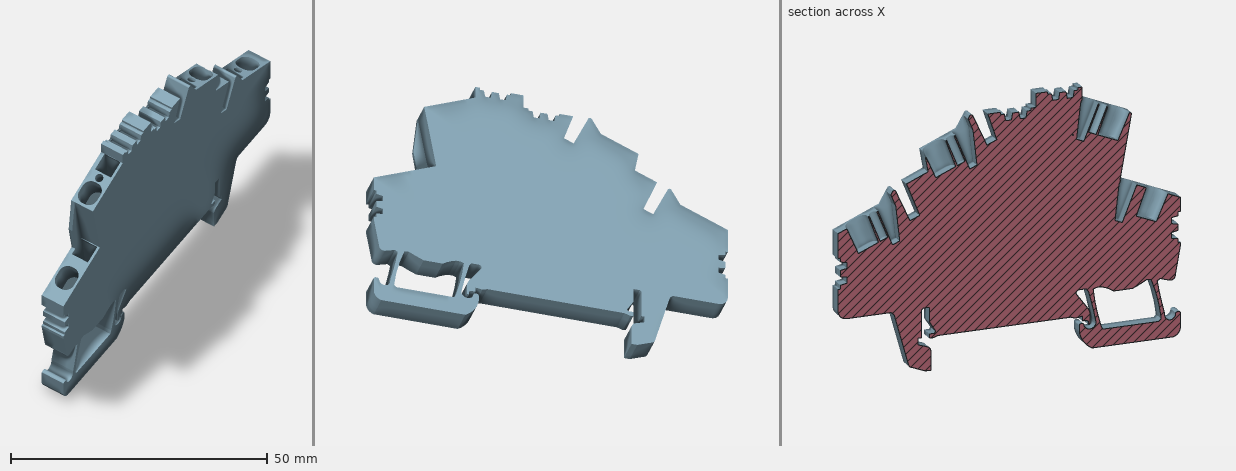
import cadquery as cq
import math


thickness = 5.1
length = 72.35
height = 54.5

slope_angle = math.radians(22.5)
slope_sin = math.sin(slope_angle)
slope_cos = math.cos(slope_angle)
slope_tan = math.tan(slope_angle)
front_low_edge = (0, 28.8)
front_high_edge = (10.3, 47.65)
rear_low_edge = (length, 31.05)
rear_slope_run = 9.7
rear_high_edge_y = 54.1

rail_face_z = 7.0
rail_hook_y = 53.07
body_bottom_z = 13.1
clip_root_z = 12.45
rear_corner_radius = 1.9

marker_block_front = 20.75
marker_block_rear = 30.6
low_top_z = 51.6
recess_width = 6.3
recess_depth = 0.5
notch_offset = 1.53
notch_mouth = 1.65
notch_floor = 1.15
notch_depth = 1.6
notch_web_thickness = 0.5
notch_web_height = 0.3
side_recess_z = 22.65
front_top_recess_y = 24.85
rear_top_recess_y = 34.8

level_step_y = -16.25
level_step_z = 13.5
rear_low_foot = (length - rear_slope_run, rear_low_edge[1] + rear_slope_run * slope_tan)
rear_high_foot = (rear_low_foot[0] + level_step_y, rear_low_foot[1] + level_step_z)
rear_high_edge = (rear_high_edge_y, rear_high_foot[1] - (rear_high_edge_y - rear_high_foot[0]) * slope_tan)

entry_width = 4.2
entry_length = 4.85
entry_corner_radius = 1.8
entry_depth = 6.0
entry_taper = 1.7
pilot_diameter = 1.65
pilot_depth = 6.0
pilot_spacing = 3.54

pocket_x_min = 0.85
pocket_x_max = 4.6
pocket_spacing = 4.7
pocket_length = 3.6
pocket_depth = 8.0
pocket_straight_depth = 0.9
pocket_far_wall_lean = math.radians(16)
pocket_cut_above = 4.0

overlap = 1.0

web_thickness = 0.85
web_peak = (9.4, 39.65)
web_foot_y = 10.45
setback_foot_y = 12.75


def front_low_slope_z(y):
    return front_low_edge[1] + y * slope_tan


def extrude_outline(sketch, x_min=0.0, x_max=thickness):
    return sketch.close().extrude(x_max - x_min).translate((x_min, 0, 0))


def prism(points, x_min=0.0, x_max=thickness):
    return extrude_outline(cq.Workplane("YZ").polyline(points), x_min, x_max)


def add_rear_level(sketch, steps):
    """Continue the outline rearward through the slot, over the rounded tip and down to the slope foot."""

    def level(y, z):
        return (y + steps * level_step_y, z + steps * level_step_z)

    return (
        sketch.lineTo(*level(55.1, 32.5))
        .lineTo(*level(57.1, 31.7))
        .lineTo(*level(60.05, 38.1))
        .threePointArc(level(60.4, 38.4), level(60.85, 38.15))
        .lineTo(*level(*rear_low_foot))
    )


def housing():
    """Main body from the rail face up, without recesses and entries."""
    corner_inset = rear_corner_radius * (1 - math.sqrt(0.5))
    block_run = marker_block_front - front_high_edge[0]
    front_top = (
        cq.Workplane("YZ")
        .moveTo(*front_high_edge)
        .lineTo(marker_block_front, front_high_edge[1] + block_run * slope_tan)
        .lineTo(marker_block_front, height)
        .lineTo(marker_block_rear, height)
        .lineTo(marker_block_rear, low_top_z)
        .lineTo(40.75, low_top_z)
    )
    upper_level = add_rear_level(front_top, 1).lineTo(*rear_high_edge).lineTo(53.35, 41.3).lineTo(57.9, 39.4)
    sketch = (
        add_rear_level(upper_level, 0)
        .lineTo(*rear_low_edge)
        .lineTo(length, body_bottom_z + rear_corner_radius)
        .threePointArc(
            (length - corner_inset, body_bottom_z + corner_inset),
            (length - rear_corner_radius, body_bottom_z),
        )
        .lineTo(rail_hook_y, body_bottom_z)
        .lineTo(rail_hook_y, 10.1)
        .lineTo(51.75, 8.0)
        .lineTo(52.0, 7.65)
        .lineTo(rail_hook_y, 7.65)
        .lineTo(rail_hook_y, 6.75)
        .lineTo(52.5, 6.6)
        .lineTo(51.2, rail_face_z)
        .lineTo(23.2, rail_face_z)
        .lineTo(22.2, 6.65)
        .lineTo(20.74, 6.9)
        .lineTo(20.74, 5.9)
        .lineTo(19.9, 5.9)
        .lineTo(19.45, 5.6)
        .lineTo(19.45, 5.0)
        .lineTo(19.05, 5.0)
        .lineTo(19.05, 7.0)
        .threePointArc((19.2, 7.8), (19.6, 8.5))
        .lineTo(21.85, 11.5)
        .threePointArc((21.95, 12.15), (21.45, clip_root_z))
        .lineTo(16.8, clip_root_z)
        .threePointArc((15.5, 12.0), (14.1, 11.2))
        .lineTo(10.2, 11.2)
        .threePointArc((8.7, 11.85), (7.2, 12.6))
        .lineTo(4.3, clip_root_z)
        .lineTo(2.3, 11.85)
        .threePointArc((1.45, 12.05), (1.07, 12.85))
        .lineTo(0, 18.8)
        .lineTo(*front_low_edge)
        .lineTo(web_foot_y, front_low_slope_z(web_foot_y))
        .lineTo(*web_peak)
    )
    return extrude_outline(sketch)


def rear_foot():
    """Fixed leg that hooks under the rear rail flange."""
    top_z = body_bottom_z + overlap
    sketch = (
        cq.Workplane("YZ")
        .moveTo(61.2, top_z)
        .lineTo(61.2, body_bottom_z)
        .threePointArc((60.65, 12.7), (60.35, 12.0))
        .lineTo(57.5, 1.9)
        .threePointArc((57.25, 1.4), (56.8, 1.15))
        .lineTo(53.85, 0)
        .lineTo(52.67, 0)
        .lineTo(52.67, 4.1)
        .threePointArc((52.85, 4.6), (53.3, 5.0))
        .lineTo(55.35, 5.7)
        .lineTo(55.35, rail_face_z)
        .lineTo(54.66, rail_face_z)
        .lineTo(54.66, 12.8)
        .lineTo(54.35, body_bottom_z)
        .lineTo(54.35, top_z)
    )
    return extrude_outline(sketch)


def spring_clip():
    """Springy front clip: a base bar on two thin curved legs."""
    top_z = clip_root_z + overlap
    base_z = 3.7
    outer = (
        cq.Workplane("YZ")
        .moveTo(19.95, top_z)
        .lineTo(19.95, clip_root_z)
        .lineTo(19.5, 11.9)
        .threePointArc((18.7, 8.9), (17.95, 5.5))
        .lineTo(17.95, 4.95)
        .threePointArc((19.15, 4.1), (20.3, 4.8))
        .threePointArc((20.8, 5.5), (21.45, 5.15))
        .lineTo(21.45, 3.9)
        .threePointArc((20.65, 1.8), (18.7, 0))
        .lineTo(1.55, 0)
        .threePointArc((0.5, 0.65), (0, 1.7))
        .lineTo(0, 5.0)
        .threePointArc((0.55, 5.2), (1.1, 4.95))
        .threePointArc((2.25, base_z), (3.3, 4.6))
        .lineTo(3.4, 5.4)
        .threePointArc((4.2, 8.6), (4.9, 12.1))
        .lineTo(4.3, clip_root_z)
        .lineTo(4.3, top_z)
    )
    window = (
        cq.Workplane("YZ")
        .moveTo(16.4, base_z)
        .lineTo(16.75, 4.4)
        .threePointArc((17.7, 7.9), (18.4, 12.2))
        .lineTo(17.7, clip_root_z)
        .lineTo(17.7, top_z)
        .lineTo(6.8, top_z)
        .lineTo(6.3, 12.65)
        .threePointArc((4.9, 8.35), (4.15, 4.2))
        .lineTo(4.6, base_z)
    )
    return extrude_outline(outer).cut(extrude_outline(window))


def marker_recess(center, inward):
    """Shallow recess with two tapered notches, each with a low web at the -X end of its floor.

    The inward pair is the unit direction (Y, Z) into the body.
    """
    along = (inward[1], inward[0])

    def place(offset, depth):
        y = center[0] + along[0] * offset + inward[0] * depth
        z = center[1] + along[1] * offset + inward[1] * depth
        return (y, z)

    half = recess_width / 2
    cutter = prism(
        [
            place(-half, -overlap),
            place(half, -overlap),
            place(half, recess_depth),
            place(-half, recess_depth),
        ]
    )
    for middle in (-notch_offset, notch_offset):
        for depth, x_min in ((notch_depth, 0), (notch_depth + notch_web_height, notch_web_thickness)):
            notch = prism(
                [
                    place(middle - notch_mouth / 2, 0),
                    place(middle + notch_mouth / 2, 0),
                    place(middle + notch_mouth / 2, recess_depth),
                    place(middle + notch_floor / 2, depth),
                    place(middle - notch_floor / 2, depth),
                    place(middle - notch_mouth / 2, recess_depth),
                ],
                x_min,
            )
            cutter = cutter.union(notch)
    return cutter


def setback_wall():
    """Space in front of the set-back wall, leaving the bulged web standing beside it."""
    outside_y = web_peak[0] - overlap
    return prism(
        [
            front_high_edge,
            (setback_foot_y, front_low_slope_z(setback_foot_y)),
            (web_foot_y, front_low_slope_z(web_foot_y)),
            (outside_y, front_low_slope_z(outside_y)),
            (outside_y, front_high_edge[1]),
        ],
        web_thickness,
    )


def terminal_entry(edge, inward_y, entry_distance, has_pilot):
    """Wire entry, pilot hole and release pocket on a slope rising from edge toward inward_y (+1 or -1)."""

    def place(distance, depth):
        y = edge[0] + inward_y * (distance * slope_cos + depth * slope_sin)
        z = edge[1] + distance * slope_sin - depth * slope_cos
        return (y, z)

    def face_plane(distance):
        y, z = place(distance, 0)
        normal = (0, -inward_y * slope_sin, slope_cos)
        return cq.Workplane(cq.Plane((thickness / 2, y, z), (1, 0, 0), normal))

    entry_profile = cq.Sketch().rect(entry_width, entry_length).vertices().fillet(entry_corner_radius)
    cutter = face_plane(entry_distance).placeSketch(entry_profile).extrude(-entry_depth, taper=entry_taper)
    if has_pilot:
        pilot = face_plane(entry_distance + pilot_spacing).circle(pilot_diameter / 2).extrude(-pilot_depth)
        cutter = cutter.union(pilot)

    near = entry_distance + pocket_spacing
    far = near + pocket_length
    far_floor = far - (pocket_depth - pocket_straight_depth) * math.tan(pocket_far_wall_lean)
    pocket = prism(
        [
            place(near, -pocket_cut_above),
            place(far, -pocket_cut_above),
            place(far, pocket_straight_depth),
            place(far_floor, pocket_depth),
            place(near, pocket_depth),
        ],
        pocket_x_min,
        pocket_x_max,
    )
    return cutter.union(pocket)


result = housing().union(rear_foot()).union(spring_clip()).cut(setback_wall())

marker_places = [
    ((front_top_recess_y, height), (0, -1)),
    ((rear_top_recess_y, low_top_z), (0, -1)),
    ((0, side_recess_z), (1, 0)),
    ((length, side_recess_z), (-1, 0)),
]
for center, inward in marker_places:
    result = result.cut(marker_recess(center, inward))

terminals = [
    (front_low_edge, 1, 5.35, False),
    (front_high_edge, 1, 2.98, True),
    (rear_low_edge, -1, 4.5, True),
    (rear_high_edge, -1, 2.4, True),
]
for edge, inward_y, entry_distance, has_pilot in terminals:
    result = result.cut(terminal_entry(edge, inward_y, entry_distance, has_pilot))